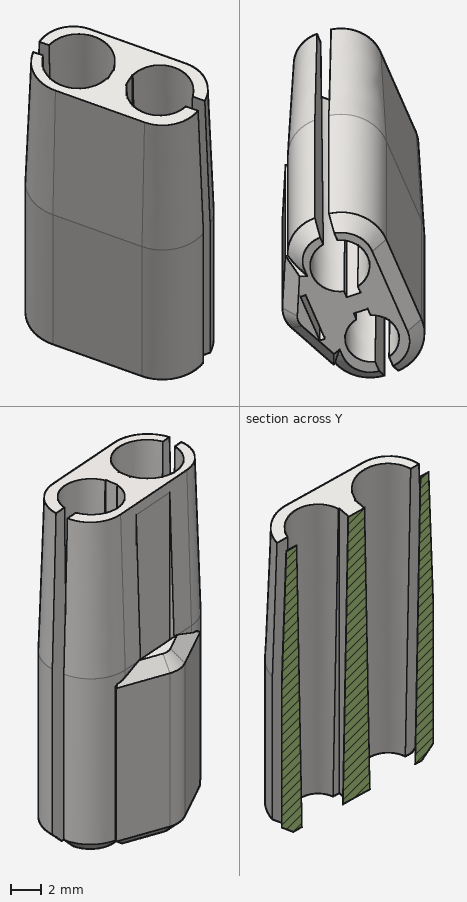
import cadquery as cq
import math

length = 12.95
width = 6.68
total_depth = 8.48
height = 26.0
front_corner_radius = 3.2
back_corner_radius = 2.95
straight_height = 14.0
end_chamfer = 1.0
upper_inset = 0.4

bore_offset = 3.0
bore_centre_y = 0.05
left_top_radius = 2.42
right_top_radius = 2.24
bore_taper = 0.45
side_slot_width = 1.0

ridge_top = total_depth - width / 2
ridge_tip_radius = 2.0
ridge_slope = math.radians(23.7)
ridge_base_half = 4.47
ridge_root_half = 3.12

slit_length = 3.6
slit_depth = 0.36

web_left = -bore_offset + left_top_radius
web_right = bore_offset - right_top_radius
web_centre = (web_left + web_right) / 2


def rounded_outline(z):
    """Rounded rectangle at height z, with tighter corners at the back."""
    sketch = (
        cq.Sketch()
        .rect(length, width)
        .vertices("<Y")
        .fillet(front_corner_radius)
        .reset()
        .vertices(">Y")
        .fillet(back_corner_radius)
    )
    return cq.Workplane("XY").workplane(offset=z).placeSketch(sketch)


def make_body():
    """Chamfered straight section with a tapering section above it."""
    straight = rounded_outline(0).extrude(straight_height)
    straight = straight.faces("<Z").chamfer(end_chamfer)
    taper_height = height - straight_height
    taper_angle = math.degrees(math.atan2(upper_inset, taper_height))
    upper = rounded_outline(straight_height).extrude(taper_height, taper=taper_angle)
    return straight.union(upper)


def make_ridge():
    """Round-tipped triangular ridge, chamfered at both ends."""
    tip_half = ridge_tip_radius * math.sin(ridge_slope)
    tip_y = ridge_top - ridge_tip_radius * (1 - math.cos(ridge_slope))
    base_y = tip_y - (ridge_base_half - tip_half) * math.tan(ridge_slope)
    ridge = (
        cq.Workplane("XY")
        .moveTo(-ridge_root_half, 0)
        .lineTo(-ridge_base_half, base_y)
        .lineTo(-tip_half, tip_y)
        .threePointArc((0, ridge_top), (tip_half, tip_y))
        .lineTo(ridge_base_half, base_y)
        .lineTo(ridge_root_half, 0)
        .close()
        .extrude(straight_height)
    )
    return ridge.faces("<Z or >Z").chamfer(end_chamfer)


def make_bore(x, top_radius):
    """Cone running the full height, widest at the top."""
    axis = cq.Vector(0, 0, 1)
    base = cq.Vector(x, bore_centre_y, 0)
    cone = cq.Solid.makeCone(top_radius - bore_taper, top_radius, height, base, axis)
    return cq.Workplane("XY").add(cone)


def make_side_slot(inner_x, outer_x):
    """Full-height slot from the web out through one end of the body."""
    slot = cq.Workplane("XY").box(abs(outer_x - inner_x), side_slot_width, height)
    return slot.translate(((inner_x + outer_x) / 2, 0, height / 2))


def make_strap_slit():
    """Full-height slit whose back wall lies at the body's back face."""
    slit = cq.Workplane("XY").box(slit_length, slit_depth, height)
    return slit.translate((web_centre, width / 2 - slit_depth / 2, height / 2))


result = make_body().union(make_ridge())
result = result.cut(make_bore(-bore_offset, left_top_radius))
result = result.cut(make_bore(bore_offset, right_top_radius))
result = result.cut(make_side_slot(web_left, -length / 2))
result = result.cut(make_side_slot(web_right, length / 2))
result = result.cut(make_strap_slit())